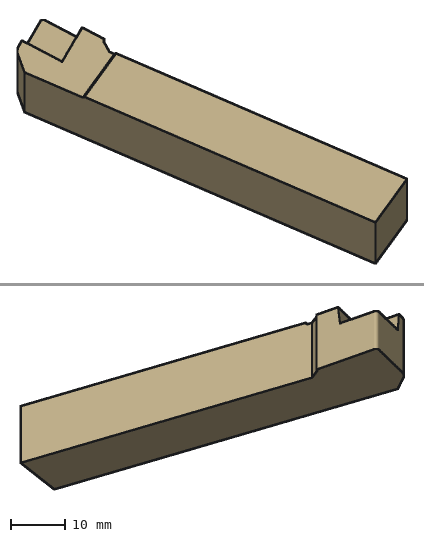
import cadquery as cq
import math

overall_length = 79.37
shank_size = 12.0

overall_width = 15.37
head_height = 11.6
step_foot_x = 17.3
step_top_x = 17.6
edge_tilt = 5.0
tip_radius = 0.6
head_back_x = 13.9
shoulder_drop = 0.4
shoulder_end_x = 16.2
corner_cut = 4.9
corner_radius = 3.0

seat_floor_z = 8.03
seat_width = 8.88
wall_relief = 7.0
margin = 5.0

tilt_sin = math.sin(math.radians(edge_tilt))
tilt_cos = math.cos(math.radians(edge_tilt))
tilt_tan = math.tan(math.radians(edge_tilt))

tip_offset = tip_radius / (tilt_cos - tilt_sin)
tip_x = tip_radius - tip_offset
tip_y = overall_width - tip_radius + tip_offset


def along_tilted_faces(along_side, along_end):
    """Point reached from the sharp tip along the side face, then the end face."""
    x = tip_x + along_side * tilt_cos + along_end * tilt_sin
    y = tip_y - along_side * tilt_sin - along_end * tilt_cos
    return x, y


def make_body():
    """Shank and head in one full-height block."""
    cut_y = (corner_cut - tip_x - tip_y * tilt_tan) / (1 - tilt_tan)
    cut_x = corner_cut - cut_y
    side_end_y = tip_y - (head_back_x - tip_x) * tilt_tan
    outline = [
        (tip_x, tip_y),
        (head_back_x, side_end_y),
        (head_back_x, side_end_y - shoulder_drop),
        (shoulder_end_x, shank_size),
        (overall_length, shank_size),
        (overall_length, 0),
        (corner_cut, 0),
        (cut_x, cut_y),
    ]
    body = cq.Workplane("XY").polyline(outline).close().extrude(shank_size)

    def edge_at(x, y):
        return cq.selectors.NearestToPointSelector((x, y, shank_size / 2))

    body = body.edges("|Z").edges(edge_at(tip_x, tip_y)).fillet(tip_radius)
    return body.edges("|Z").edges(edge_at(cut_x, cut_y)).fillet(corner_radius)


def make_head_relief():
    """Material above the head, ending in the sloped step up to the shank."""
    profile = [
        (-margin, head_height),
        (step_foot_x, head_height),
        (step_top_x, shank_size),
        (-margin, shank_size),
    ]
    relief = cq.Workplane("XZ").polyline(profile).close().extrude(-(overall_width + 2 * margin))
    return relief.translate((0, -margin, 0))


def make_seat():
    """Insert seat, widening upwards at the wall relief angle."""
    span = seat_width / math.cos(math.radians(2 * edge_tilt))
    corners = [
        along_tilted_faces(-margin, -margin),
        along_tilted_faces(span, -margin),
        along_tilted_faces(span, span),
        along_tilted_faces(-margin, span),
    ]
    seat = cq.Workplane("XY", origin=(0, 0, head_height)).polyline(corners).close()
    return seat.extrude(-(head_height - seat_floor_z), taper=wall_relief)


result = make_body().cut(make_head_relief()).cut(make_seat())